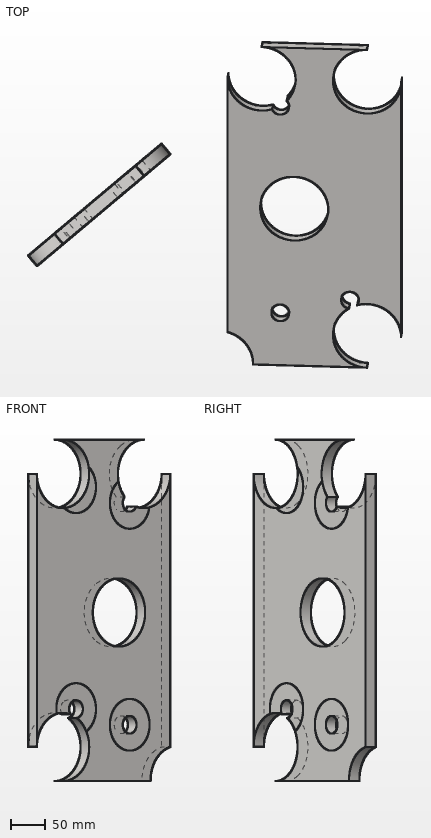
import cadquery as cq

plate_width = 255.0
plate_height = 500.0
plate_thickness = 20.0
plate_angle = 40.0

cutout_diameter = 100.0
cutout_radius = cutout_diameter / 2
window_center = (157.0, 247.0)
relief_center = (267.5, 1.5)

bolt_diameter = 26.0
seat_diameter = 76.0
seat_depth = 0.2
left_bolt_x = 75.0
right_bolt_x = 177.5
bolt_centers = [
    (left_bolt_x, 105.5),
    (left_bolt_x, 430.5),
    (right_bolt_x, 82.5),
    (right_bolt_x, 407.5),
]


def front_cylinder(center, diameter, depth):
    """Cylinder running from the front face into the plate."""
    x, z = center
    return (
        cq.Workplane("XZ", origin=(x, 0, z))
        .circle(diameter / 2)
        .extrude(-depth)
    )


def corner_cutout(at_right, at_top):
    """Circle tangent to two plate edges, plus the scrap left outside it at the corner."""
    center_x = plate_width - cutout_radius if at_right else cutout_radius
    center_z = plate_height - cutout_radius if at_top else cutout_radius
    corner_x = plate_width if at_right else 0
    corner_z = plate_height if at_top else 0
    scrap = (
        cq.Workplane("XZ", origin=((center_x + corner_x) / 2, 0, (center_z + corner_z) / 2))
        .rect(cutout_radius, cutout_radius)
        .extrude(-plate_thickness)
    )
    return front_cylinder((center_x, center_z), cutout_diameter, plate_thickness).union(scrap)


plate = cq.Workplane("XY").box(plate_width, plate_thickness, plate_height, centered=False)

for bolt_center in bolt_centers:
    plate = plate.cut(front_cylinder(bolt_center, seat_diameter, seat_depth))
    plate = plate.cut(front_cylinder(bolt_center, bolt_diameter, plate_thickness))

for round_center in (window_center, relief_center):
    plate = plate.cut(front_cylinder(round_center, cutout_diameter, plate_thickness))

for at_right, at_top in ((False, False), (False, True), (True, True)):
    plate = plate.cut(corner_cutout(at_right, at_top))

result = plate.rotate((0, 0, 0), (0, 0, 1), plate_angle)